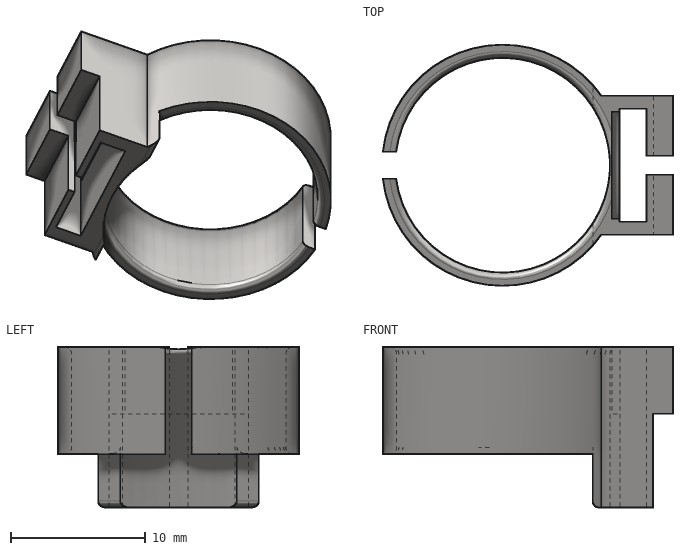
import cadquery as cq
import math

outer_radius = 9.0
bore_radius = 8.0
top_z = 12.0
ring_bottom_z = 4.0
bore_edge_fillet = 0.5
split_width = 2.0

tab_width = 12.0
tab_face_x = math.sqrt(outer_radius**2 - (tab_width / 2) ** 2)
tab_top_z = (ring_bottom_z + top_z) / 2
tab_edge_fillet = 0.5

split_end_x = -math.sqrt(outer_radius**2 - (split_width / 2) ** 2)
overall_length = 21.67
mount_end_x = split_end_x + overall_length
mount_width = 10.4
mount_start_x = math.sqrt(outer_radius**2 - (mount_width / 2) ** 2)
hook_overhang = 1.5
hook_bottom_z = 7.0

hook_thickness = 2.0
slot_length_x = 2.0
slot_width = 8.4
slot_end_x = mount_end_x - hook_thickness
slot_start_x = slot_end_x - slot_length_x
opening_width = 1.4
recess_depth_x = 0.6
recess_width = 8.0
recess_floor_z = hook_bottom_z


def centred_box(x_start, x_end, width, z_start, z_end):
    """Box between two X and two Z limits, centred on Y = 0."""
    return (
        cq.Workplane("XY", origin=((x_start + x_end) / 2, 0, z_start))
        .rect(x_end - x_start, width)
        .extrude(z_end - z_start)
    )


def disc(radius, z_start, z_end):
    return cq.Workplane("XY", origin=(0, 0, z_start)).circle(radius).extrude(z_end - z_start)


def make_split_ring():
    """Ring with both bore edges rounded and a gap on the -X side."""
    ring = disc(outer_radius, ring_bottom_z, top_z).cut(disc(bore_radius, ring_bottom_z, top_z))
    bore_edges = cq.selectors.RadiusNthSelector(0)
    ring = ring.edges(bore_edges).fillet(bore_edge_fillet)
    return ring.cut(centred_box(-outer_radius, 0, split_width, ring_bottom_z, top_z))


def make_tab():
    """Lower wall segment with its flat ends rounded along the bottom edge."""
    slab = centred_box(tab_face_x, outer_radius, tab_width, 0, tab_top_z)
    slab = slab.faces("<X").edges("<Z").fillet(tab_edge_fillet)
    return slab.intersect(disc(outer_radius, 0, tab_top_z)).cut(disc(bore_radius, 0, tab_top_z))


def make_mount():
    """Block outside the ring wall, with its upper part overhanging as a hook."""
    upper = centred_box(mount_start_x, mount_end_x, mount_width, hook_bottom_z, top_z)
    lower = centred_box(mount_start_x, mount_end_x - hook_overhang, mount_width, 0, hook_bottom_z)
    wall_middle_radius = (outer_radius + bore_radius) / 2
    return upper.union(lower).cut(disc(wall_middle_radius, 0, top_z))


def cut_mount_slot(body):
    slot = centred_box(slot_start_x, slot_end_x, slot_width, 0, top_z)
    opening = centred_box(slot_end_x, mount_end_x, opening_width, 0, top_z)
    recess = centred_box(slot_start_x - recess_depth_x, slot_start_x, recess_width, recess_floor_z, top_z)
    return body.cut(slot).cut(opening).cut(recess)


result = cut_mount_slot(make_split_ring().union(make_tab()).union(make_mount()))